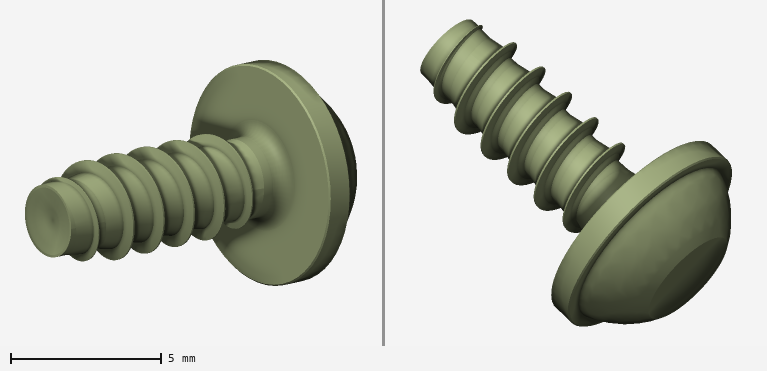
import math

import cadquery as cq


flange_diameter = 7.5
flange_thickness = 0.9
flange_edge_break = 0.05
head_height = 2.7
dome_base_diameter = 6.6
dome_top_diameter = 3.6
dome_radius = 3.5

shank_length = 9.0
neck_diameter = 2.74
neck_fillet = 0.5
core_diameter = 2.45
core_taper_length = 0.56
tip_dish_diameter = 2.28
tip_dish_depth = 0.2

thread_diameter = 3.5
thread_pitch = 1.29
thread_start = 0.88
first_crest = 0.31
lead_in_turns = 1.35
full_turns = 3.9
lead_out_turns = 1.45
lead_in_scale = 0.21
lead_out_scale = 0.05

crest_half_width = 0.03
head_flank_width = 0.11
head_flank_diameter = 2.8
head_foot_width = 0.26
tip_flank_width = 0.13
tip_flank_diameter = 2.7
tip_ramp_width = 0.8
tooth_root_depth = 0.1
tooth_overlap = 0.005
min_radius_growth = 1e-6

core_radius = core_diameter / 2
neck_radius = neck_diameter / 2


def revolve_about_axis(outline):
    """Turn a closed half outline in the XY plane about the Y axis."""
    return outline.close().revolve(360, (0, 0, 0), (0, 1, 0))


def make_head():
    """Thin flange with a flat-topped dome on it."""
    flange = (
        cq.Workplane("XZ")
        .circle(flange_diameter / 2)
        .extrude(-flange_thickness)
        .edges()
        .chamfer(flange_edge_break)
    )
    dome = revolve_about_axis(
        cq.Workplane("XY")
        .lineTo(dome_base_diameter / 2, 0)
        .lineTo(dome_base_diameter / 2, flange_thickness)
        .radiusArc((dome_top_diameter / 2, head_height), -dome_radius)
        .lineTo(0, head_height)
    )
    return flange.union(dome)


def make_shank():
    """Filleted neck, taper and thread core down to the dished tip."""
    fillet_top_radius = neck_radius + neck_fillet
    return revolve_about_axis(
        cq.Workplane("XY")
        .moveTo(0, flange_thickness / 2)
        .lineTo(fillet_top_radius, flange_thickness / 2)
        .lineTo(fillet_top_radius, 0)
        .radiusArc((neck_radius, -neck_fillet), -neck_fillet)
        .lineTo(neck_radius, -thread_start)
        .lineTo(core_radius, -thread_start - core_taper_length)
        .lineTo(core_radius, -shank_length)
        .lineTo(tip_dish_diameter / 2, -shank_length)
        .lineTo(0, -shank_length + tip_dish_depth)
    )


def tooth_outline(scale):
    """Tooth section as (radius, axial offset) points; the tip ramp keeps its length."""
    root_radius = core_radius - tooth_root_depth
    foot_radius = core_radius - tooth_overlap

    def scaled(diameter, offset):
        return (core_radius + scale * (diameter / 2 - core_radius), scale * offset)

    return [
        (root_radius, -scale * head_foot_width),
        (foot_radius, -scale * head_foot_width),
        scaled(head_flank_diameter, -head_flank_width),
        scaled(thread_diameter, -crest_half_width),
        scaled(thread_diameter, crest_half_width),
        scaled(tip_flank_diameter, tip_flank_width),
        (foot_radius, tip_ramp_width),
        (root_radius, tip_ramp_width),
    ]


def spiral(start, end, turns):
    """Helix about Z between two (radius, height) points, conical if the radii differ."""
    growth = end[0] - start[0]
    rise = end[1] - start[1]
    length = math.hypot(growth, rise)
    is_conical = abs(growth) > min_radius_growth
    cone_angle = math.degrees(math.atan2(growth, rise)) if is_conical else 360
    return cq.Wire.makeHelix(length / turns, length, start[0], cq.Vector(0, 0, start[1]), angle=cone_angle)


def ridge_segment(start_turn, turns, start_scale, end_scale):
    """Solid stretch of the thread ridge, climbing along +Z from the given turn."""

    def placed_outline(turn, scale):
        crest_height = first_crest + turn * thread_pitch
        return [(radius, crest_height + offset) for radius, offset in tooth_outline(scale)]

    def end_face(outline, turn):
        corners = [cq.Vector(radius, 0, height) for radius, height in outline]
        face = cq.Face.makeFromWires(cq.Wire.makePolygon(corners, close=True))
        return face.rotate(cq.Vector(0, 0, 0), cq.Vector(0, 0, 1), 360 * turn)

    start_outline = placed_outline(start_turn, start_scale)
    end_outline = placed_outline(start_turn + turns, end_scale)
    rails = [spiral(start, end, turns) for start, end in zip(start_outline, end_outline)]
    faces = [end_face(start_outline, 0), end_face(end_outline, turns)]
    for index, rail in enumerate(rails):
        faces.extend(cq.Face.makeRuledSurface(rail, rails[index - 1]).Faces())
    solid = cq.Solid.makeSolid(cq.Shell.makeShell(faces))
    return cq.Workplane(solid).rotate((0, 0, 0), (0, 0, 1), 360 * start_turn)


def make_thread_segments():
    """Lead-in, full and lead-out stretches of the thread, cut to length between the neck and the tip."""
    lead_out_start = lead_in_turns + full_turns
    segments = [
        ridge_segment(0, lead_in_turns, lead_in_scale, 1),
        ridge_segment(lead_in_turns, full_turns, 1, 1),
        ridge_segment(lead_out_start, lead_out_turns, 1, lead_out_scale),
    ]
    length_limits = (
        cq.Workplane("XY", origin=(0, 0, thread_start))
        .circle(thread_diameter)
        .circle(tip_dish_diameter / 2)
        .extrude(shank_length - thread_start)
    )
    return [segment.intersect(length_limits).rotate((0, 0, 0), (1, 0, 0), 90) for segment in segments]


result = make_head().union(make_shank())
for thread_segment in make_thread_segments():
    result = result.union(thread_segment)